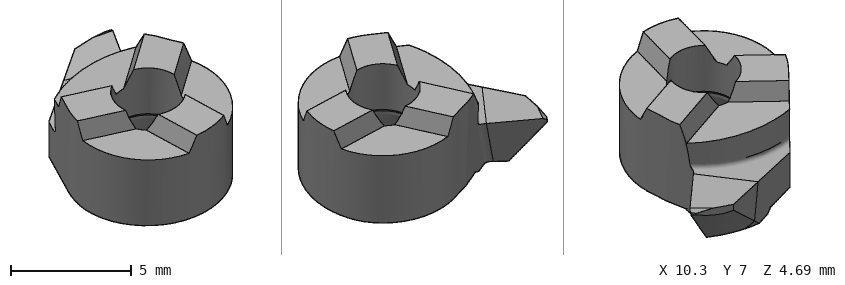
import cadquery as cq
import math


HUB_RADIUS = 3.5
BORE_RADIUS = 1.55
SEAT_RADIUS = 1.65
MOUTH_RADIUS = 2.06
BORE_END_Z = 1.96
SEAT_TOP_Z = 1.8
SEAT_END_Z = 1.63
TOP_Z = 4.4
PAD_TOE_Z = -0.29
HEIGHT = TOP_Z - PAD_TOE_Z
HUB_FLAT_END = (-2.83, math.sqrt(HUB_RADIUS**2 - 2.83**2))

RIDGE_ANGLES = (-90.0, 30.0, 150.0)
RIDGE_FLOOR_Z = 3.59
RIDGE_TOP_HALF_WIDTH = 0.85
RIDGE_BASE_HALF_WIDTH = 1.22

ARM_FRONT_START = (-2.43, -HUB_RADIUS)
EDGE_FRONT = (-6.19, -1.05)
EDGE_NOSE = (-6.8, 0.52)
NOSE_BACK = (-6.77, 0.93)
ARM_BACK_END = (-3.85, 0.93)

RAKE_POINT = (*EDGE_FRONT, 2.19)
RAKE_NORMAL = (0.03, -0.09, 1.0)
STEP_ARC = [(-3.9, 1.03), (-2.95, -2.09), (-1.23, -3.75)]
STEP_FILLET = 0.21

FLANK_POINT = (-4.26, 0.56, 2.28)
FLANK_NORMAL = (0.08, 1.0, -0.23)
FLANK_FILLET = 0.31

HUB_WALL_POINT = (-3.34, 1.5, TOP_Z)
HUB_WALL_NORMAL = (-1.46, 1.0, -0.013)

RELIEF_LOW_ARC = [(-5.35, 0.67), (-4.97, -1.11), (-4.08, -2.71)]
RELIEF_HIGH_ARC = [(-6.99, 0.93), (-6.89, -0.06), (-6.55, -1.01)]
RELIEF_HIGH_Z = 2.47

BEVEL_POINT = (-6.52, -0.1, 2.3)
BEVEL_NORMAL = (-0.5, -0.13, 1.0)
BEVEL_ZONE = 2.06

PAD_START_X = -3.73
PAD_DEPTH = 0.21
PAD_TOE_X = -5.28

RUNOUT_START_X = 1.41
RUNOUT_RISE = 0.09

SEAM_POINT = (-4.56, -2.1, 2.06)
SEAM_NORMAL = (-1.0, 0.105, 0.132)

REACH = 15.45


def half_space(point, normal):
    """A large block on the side of a plane that the normal points to."""
    plane = cq.Plane(origin=point, normal=normal)
    return cq.Workplane(plane).rect(2 * REACH, 2 * REACH).extrude(REACH)


def make_blank():
    blank = (
        cq.Workplane("XY", origin=(0, 0, PAD_TOE_Z))
        .moveTo(0, -HUB_RADIUS)
        .lineTo(*ARM_FRONT_START)
        .lineTo(*EDGE_FRONT)
        .lineTo(*EDGE_NOSE)
        .lineTo(*NOSE_BACK)
        .lineTo(*ARM_BACK_END)
        .lineTo(*HUB_FLAT_END)
        .threePointArc((HUB_RADIUS, 0), (0, -HUB_RADIUS))
        .close()
        .extrude(HEIGHT)
    )
    return blank.cut(bore_space())


def bore_space():
    """Stepped bore: straight at the top, widening to a short seat and a flared mouth at the underside."""
    profile = [
        (0, 0),
        (MOUTH_RADIUS, 0),
        (SEAT_RADIUS, SEAT_END_Z),
        (SEAT_RADIUS, SEAT_TOP_Z),
        (BORE_RADIUS, BORE_END_Z),
        (BORE_RADIUS, TOP_Z),
        (0, TOP_Z),
    ]
    bore = cq.Workplane("XZ").polyline(profile).close().revolve(360, (0, 0, 0), (0, 1, 0))
    below = cq.Workplane("XY", origin=(0, 0, PAD_TOE_Z)).circle(MOUTH_RADIUS).extrude(-PAD_TOE_Z)
    return bore.union(below)


def back_clearance():
    """Space behind the arm, between its leaning flank and the wall of the hub."""
    space = half_space(HUB_WALL_POINT, HUB_WALL_NORMAL).intersect(half_space(FLANK_POINT, FLANK_NORMAL))
    inner_edge = cq.selectors.NearestToPointSelector(HUB_WALL_POINT)
    return space.edges(inner_edge).fillet(FLANK_FILLET)


def step_clearance():
    """Space above the rake face, ending at the curved step of the hub."""
    plane = cq.Plane(origin=RAKE_POINT, xDir=(1, 0, -RAKE_NORMAL[0]), normal=RAKE_NORMAL)
    back, middle, front = [(x - RAKE_POINT[0], y - RAKE_POINT[1]) for x, y in STEP_ARC]
    behind = (back[0], back[1] + HUB_RADIUS)
    ahead = (front[0] + HUB_RADIUS, front[1] - HUB_RADIUS)
    space = (
        cq.Workplane(plane)
        .moveTo(*back)
        .threePointArc(middle, front)
        .lineTo(*ahead)
        .lineTo(-REACH, ahead[1])
        .lineTo(-REACH, behind[1])
        .lineTo(*behind)
        .close()
        .extrude(HEIGHT)
    )
    arc_edge = cq.selectors.NearestToPointSelector((*STEP_ARC[1], RAKE_POINT[2]))
    return space.edges(arc_edge).fillet(STEP_FILLET)


def ridge_clearance():
    """Everything above the ridge floor except the three tapered radial ridges."""
    space = cq.Workplane("XY", origin=(0, 0, RIDGE_FLOOR_Z)).rect(2 * REACH, 2 * REACH).extrude(HEIGHT)
    profile = [
        (-RIDGE_BASE_HALF_WIDTH, RIDGE_FLOOR_Z),
        (RIDGE_BASE_HALF_WIDTH, RIDGE_FLOOR_Z),
        (RIDGE_TOP_HALF_WIDTH, TOP_Z),
        (-RIDGE_TOP_HALF_WIDTH, TOP_Z),
    ]
    for angle in RIDGE_ANGLES:
        ridge = cq.Workplane("YZ").polyline(profile).close().extrude(REACH)
        space = space.cut(ridge.rotate((0, 0, 0), (0, 0, 1), angle))
    return space


def underside_clearance():
    """Space below the holder, leaving the pad under the arm and the rising run-out."""
    profile = [
        (-REACH, PAD_TOE_Z),
        (PAD_TOE_X, PAD_TOE_Z),
        (PAD_START_X - PAD_DEPTH, -PAD_DEPTH),
        (PAD_START_X, 0),
        (RUNOUT_START_X, 0),
        (HUB_RADIUS, RUNOUT_RISE),
        (HUB_RADIUS, -HEIGHT),
        (-REACH, -HEIGHT),
    ]
    return cq.Workplane("XZ", origin=(0, REACH, 0)).polyline(profile).close().extrude(2 * REACH)


def relief_clearance():
    """Space in front of the ruled relief surface below the cutting edge."""

    def section(arc, z):
        back, middle, front = arc
        outline = cq.Workplane("XY", origin=(0, 0, z)).moveTo(*back).threePointArc(middle, front)
        return outline.lineTo(-REACH, front[1]).lineTo(-REACH, back[1]).close().val()

    wires = [section(RELIEF_LOW_ARC, PAD_TOE_Z), section(RELIEF_HIGH_ARC, RELIEF_HIGH_Z)]
    return cq.Workplane(cq.Solid.makeLoft(wires, True))


def bevel_clearance():
    """Space above the bevel, kept to a block around the nose so that it misses the hub."""
    centre = (*EDGE_NOSE, RAKE_POINT[2])
    zone = cq.Workplane("XY").box(BEVEL_ZONE, BEVEL_ZONE, BEVEL_ZONE).translate(centre)
    return zone.intersect(half_space(BEVEL_POINT, BEVEL_NORMAL))


def make_insert():
    insert = make_blank().cut(back_clearance()).cut(step_clearance()).cut(ridge_clearance())
    insert = insert.cut(underside_clearance()).cut(relief_clearance())
    return insert.cut(bevel_clearance())


insert = make_insert()
tip_side = half_space(SEAM_POINT, SEAM_NORMAL)

holder = insert.cut(tip_side)
cutting_tip = insert.intersect(tip_side)

result = cq.Compound.makeCompound([holder.val(), cutting_tip.val()])